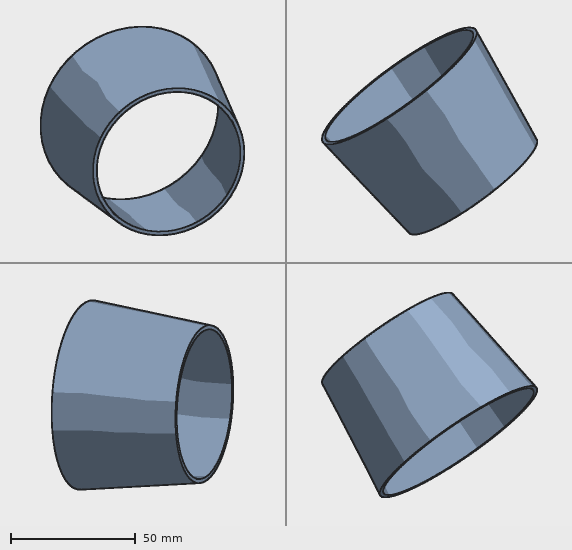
import cadquery as cq

length = 50.8
large_diameter = 76.2
small_diameter = 63.55
wall = 1.7

large_radius = large_diameter / 2
small_radius = small_diameter / 2

wall_section = (
    cq.Workplane("XY")
    .moveTo(0, large_radius - wall)
    .lineTo(0, large_radius)
    .lineTo(length, small_radius)
    .lineTo(length, small_radius - wall)
    .close()
)

axis_start = (0, 0, 0)
axis_end = (1, 0, 0)
result = wall_section.revolve(360, axis_start, axis_end)